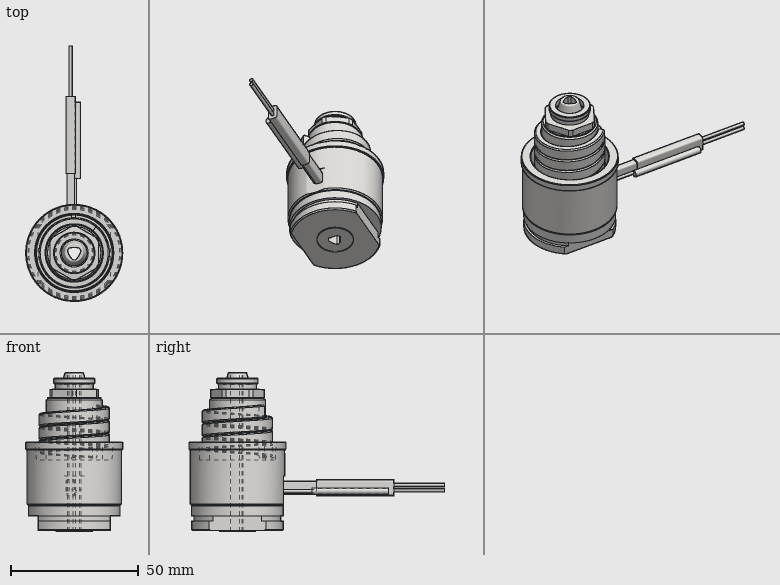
import cadquery as cq
import math

total_height = 62.2
overall_length = 100.0
overlap = 0.5

pad_radius = 7.1
pad_height = 0.4
base_radius = 18.0
base_chamfer = 0.5
base_flats = 28.2
neck_radius = 17.0
neck_bottom = 4.1
neck_top = 6.2

housing_radius = 18.5
housing_bottom = 10.4
housing_chamfer = 0.5
relief_radius = 17.8
relief_width = 0.3
flange_radius = 19.0
flange_bottom = 32.0
flange_top = 35.1
flange_chamfer = 0.3
pit_top_radius = 15.5
pit_floor_radius = 14.8
pit_floor = 28.0
pit_lip = 0.3
stop_width = 1.6
stop_length = 1.5
stop_height = 1.0
stop_x = -0.2
stop_y = 14.2
entry_flat_y = 18.1
entry_flat_top = 21.7

hub_radius = 11.0
hub_top = 52.0
hub_chamfer = 0.6
strip_radius = 13.8
strip_inner_radius = 10.9
strip_pitch = 5.2
strip_gap = 0.1
strip_chamfer = 0.5
strip_turns = 3
strip_end_angle = 50.0
strip_end_top = 49.5

washer_radius = 10.4
washer_top = 52.5
nut_flats = 19.0
nut_corner_diameter = 21.0
nut_top = 55.8
nut_slope = 0.3
collar_neck_radius = 7.5
collar_bottom = 57.8
collar_top = 60.0
collar_radius = 8.1
collar_chamfer = 0.3

recess_radius = 5.5
recess_floor = 57.5
tip_root_radius = 5.0
tip_radius = 3.6
tip_fillet = 0.4
lobe_radius = 2.7
lobe_half_angle = 12.0
lobe_count = 3
first_lobe_angle = 270.0
side_radius = 2.1

lead_x = -1.4
lead_z = 17.2
cable_width = 3.0
cable_height = 5.2
cable_fillet = 0.7
sleeve_width = 3.7
sleeve_height = 6.4
sleeve_fillet = 1.0
sleeve_start = 31.0
sleeve_end = 61.2
wire_diameter = 1.4
wire_spacing = 2.1
wire_tip = overall_length - flange_radius
side_tube_diameter = 2.7
side_tube_x = 1.2
side_tube_z = 15.8
side_tube_start = 29.1
side_tube_end = 59.0
side_wire_x = 0.2
lead_root = 15.0


def disc(radius, bottom, top):
    return cq.Workplane("XY").workplane(offset=bottom).circle(radius).extrude(top - bottom)


def polar(radius, angle):
    return (radius * math.cos(math.radians(angle)), radius * math.sin(math.radians(angle)))


def make_base():
    rim = disc(base_radius, pad_height, neck_bottom).faces("<Z").chamfer(base_chamfer)
    neck = disc(neck_radius, neck_bottom, neck_top)
    flats = cq.Workplane("XY").rect(base_flats, 2 * flange_radius).extrude(neck_top)
    return rim.union(neck).intersect(flats).union(disc(pad_radius, 0, pad_height + overlap))


def make_housing():
    skirt = disc(base_radius, neck_top, housing_bottom - relief_width)
    relief = disc(relief_radius, housing_bottom - relief_width, housing_bottom)
    barrel = disc(housing_radius, housing_bottom, flange_bottom).faces("<Z").chamfer(housing_chamfer)
    flange = disc(flange_radius, flange_bottom, flange_top).faces("<Z or >Z").chamfer(flange_chamfer)
    pit = (
        cq.Workplane("XZ")
        .polyline([
            (0, pit_floor),
            (pit_floor_radius, pit_floor),
            (pit_top_radius - pit_lip, flange_top - pit_lip),
            (pit_top_radius, flange_top),
            (0, flange_top),
        ])
        .close()
        .revolve(360, (0, 0), (0, 1))
    )
    entry_flat = (
        cq.Workplane("XY")
        .workplane(offset=housing_bottom)
        .center(0, entry_flat_y + overlap)
        .rect(2 * housing_radius, 2 * overlap)
        .extrude(entry_flat_top - housing_bottom)
    )
    stop = (
        cq.Workplane("XY", origin=(stop_x, stop_y, pit_floor))
        .rect(stop_width, stop_length)
        .extrude(stop_height)
    )
    return skirt.union(relief).union(barrel.cut(entry_flat)).union(flange).cut(pit).union(stop)


def make_strip():
    strip_height = strip_pitch - strip_gap
    start_z = strip_end_top - strip_height - strip_turns * strip_pitch
    strip_path = cq.Wire.makeHelix(strip_pitch, strip_turns * strip_pitch, strip_radius)
    return (
        cq.Workplane("XZ")
        .polyline([
            (strip_inner_radius, strip_chamfer),
            (strip_inner_radius + strip_chamfer, 0),
            (strip_radius - strip_chamfer, 0),
            (strip_radius, strip_chamfer),
            (strip_radius, strip_height - strip_chamfer),
            (strip_radius - strip_chamfer, strip_height),
            (strip_inner_radius + strip_chamfer, strip_height),
            (strip_inner_radius, strip_height - strip_chamfer),
        ])
        .close()
        .sweep(cq.Workplane("XY").add(strip_path), isFrenet=True)
        .rotate((0, 0, 0), (0, 0, 1), strip_end_angle)
        .translate((0, 0, start_z))
    )


def make_nut():
    corner_radius = nut_corner_diameter / 2
    hexagon = (
        cq.Workplane("XY")
        .workplane(offset=washer_top)
        .polygon(6, nut_flats, circumscribed=True)
        .extrude(nut_top - washer_top)
    )
    envelope = (
        cq.Workplane("XZ")
        .polyline([
            (0, washer_top),
            (corner_radius, washer_top),
            (corner_radius, nut_top - nut_slope),
            (collar_neck_radius, nut_top),
            (0, nut_top),
        ])
        .close()
        .revolve(360, (0, 0), (0, 1))
    )
    return hexagon.intersect(envelope)


def make_collar():
    neck = disc(collar_neck_radius, nut_top, collar_bottom)
    collar = disc(collar_radius, collar_bottom, collar_top).faces("<Z or >Z").chamfer(collar_chamfer)
    recess = disc(recess_radius, recess_floor, collar_top)
    tip = (
        cq.Workplane("XY")
        .workplane(offset=recess_floor)
        .circle(tip_root_radius)
        .workplane(offset=total_height - recess_floor)
        .circle(tip_radius)
        .loft()
        .faces(">Z")
        .edges()
        .fillet(tip_fillet)
    )
    return neck.union(collar).cut(recess).union(tip)


def make_bore():
    """Three-lobed hole running through the whole height."""
    lobe_pitch = 360 / lobe_count
    start = polar(lobe_radius, first_lobe_angle - lobe_half_angle)
    outline = cq.Workplane("XY").moveTo(*start)
    for index in range(lobe_count):
        angle = first_lobe_angle + index * lobe_pitch
        lobe_end = polar(lobe_radius, angle + lobe_half_angle)
        next_lobe_start = polar(lobe_radius, angle + lobe_pitch - lobe_half_angle)
        outline = outline.threePointArc(polar(lobe_radius, angle), lobe_end)
        outline = outline.threePointArc(polar(side_radius, angle + lobe_pitch / 2), next_lobe_start)
    return outline.close().extrude(total_height)


def bar(width, height, fillet, start, end):
    return (
        cq.Workplane("XY")
        .box(width, end - start, height)
        .edges("|Y")
        .fillet(fillet)
        .translate((lead_x, (start + end) / 2, lead_z))
    )


def rod(diameter, x, z, start, end):
    return cq.Workplane("XZ", origin=(x, start, z)).circle(diameter / 2).extrude(start - end)


def make_leads():
    leads = bar(cable_width, cable_height, cable_fillet, lead_root, sleeve_start + overlap)
    leads = leads.union(bar(sleeve_width, sleeve_height, sleeve_fillet, sleeve_start, sleeve_end))
    for side in (-1, 1):
        wire_z = lead_z + side * wire_spacing / 2
        leads = leads.union(rod(wire_diameter, lead_x, wire_z, sleeve_end - overlap, wire_tip))
    tube = rod(side_tube_diameter, side_tube_x, side_tube_z, side_tube_start, side_tube_end)
    side_wire = rod(wire_diameter, side_wire_x, side_tube_z, lead_root, side_tube_start + overlap)
    return leads.union(tube).union(side_wire)


hub = disc(hub_radius, pit_floor, hub_top).faces(">Z").chamfer(hub_chamfer)
washer = disc(washer_radius, hub_top, washer_top)

result = make_base().union(make_housing()).union(make_leads())
for section in (hub, make_strip(), washer, make_nut(), make_collar()):
    result = result.union(section)
result = result.cut(make_bore())